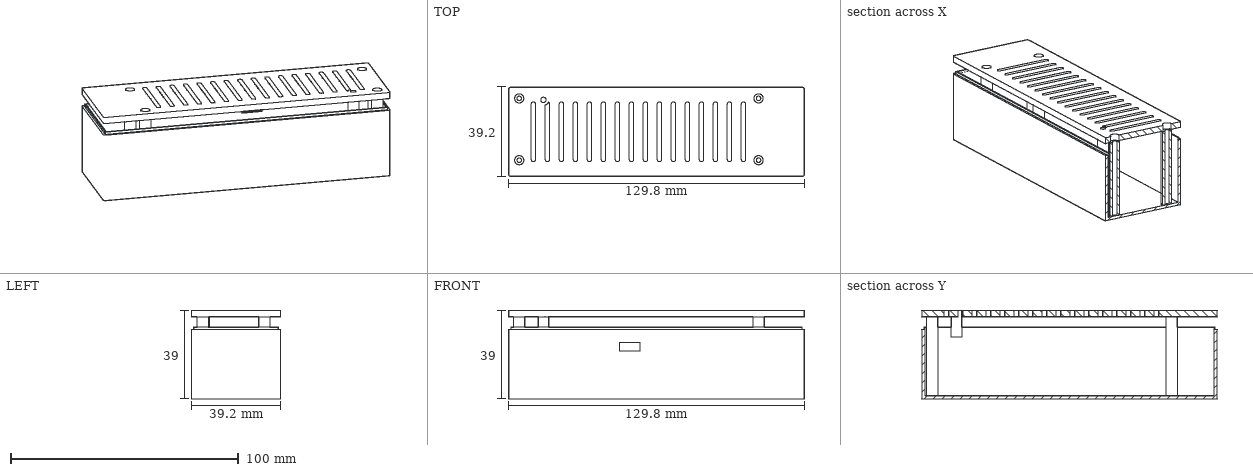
import cadquery as cq

LENGTH = 129.8
WIDTH = 39.2
HEIGHT = 39.0
CORNER_RADIUS = 1.0

BOX_HEIGHT = 30.6
WALL = 1.5
FLOOR = 1.5
LIP_STEP = CORNER_RADIUS
LIP_HEIGHT = 1.0

PORT_LENGTH = 9.0
PORT_HEIGHT = 3.8
PORT_X = -11.8
PORT_Z = 23.0

LID_THICKNESS = 2.9
LID_BOTTOM = HEIGHT - LID_THICKNESS

SLOT_COUNT = 16
SLOT_WIDTH = 2.0
SLOT_LENGTH = 26.2
FIRST_SLOT_X = -54.0
SLOT_ROW_LENGTH = 92.2
SLOT_PITCH = SLOT_ROW_LENGTH / (SLOT_COUNT - 1)

POST_DIAMETER = 5.0
POST_X = (-60.2, 44.8)
POST_Y = (-12.5, 14.7)
SCREW_DIAMETER = 2.0
SCREW_HEAD_DIAMETER = 4.0
SCREW_HEAD_DEPTH = LID_THICKNESS
POST_BOTTOM = FLOOR

TUBE_DIAMETER = 4.8
TUBE_BORE = 2.3
TUBE_X = -49.6
TUBE_Y = 14.0
TUBE_LENGTH = 11.7
TUBE_BOTTOM = HEIGHT - TUBE_LENGTH


def block(length, width, bottom, top):
    """Rectangular block centred on the Z axis, between two heights."""
    return (
        cq.Workplane("XY")
        .workplane(offset=bottom)
        .rect(length, width)
        .extrude(top - bottom)
    )


def cylinders(points, diameter, bottom, top):
    """Upright cylinders at the given XY points, between two heights."""
    return (
        cq.Workplane("XY")
        .workplane(offset=bottom)
        .pushPoints(points)
        .circle(diameter / 2)
        .extrude(top - bottom)
    )


def make_box():
    """Open box with a raised inner lip and a port in its front wall."""
    shell = block(LENGTH, WIDTH, 0, BOX_HEIGHT).edges("|Z").fillet(CORNER_RADIUS)
    lip_top = BOX_HEIGHT + LIP_HEIGHT
    lip = block(LENGTH - 2 * LIP_STEP, WIDTH - 2 * LIP_STEP, BOX_HEIGHT, lip_top)
    cavity = block(LENGTH - 2 * WALL, WIDTH - 2 * WALL, FLOOR, lip_top)
    front_wall_y = -(WIDTH - WALL) / 2
    port = cq.Workplane("XY").box(PORT_LENGTH, 2 * WALL, PORT_HEIGHT)
    port = port.translate((PORT_X, front_wall_y, PORT_Z))
    return shell.union(lip).cut(cavity).cut(port)


def vent_slots():
    """Row of round-ended slots that pass through the lid."""
    centres = [(FIRST_SLOT_X + i * SLOT_PITCH, 0) for i in range(SLOT_COUNT)]
    return (
        cq.Workplane("XY")
        .workplane(offset=LID_BOTTOM)
        .pushPoints(centres)
        .slot2D(SLOT_LENGTH, SLOT_WIDTH, 90)
        .extrude(LID_THICKNESS)
    )


def make_lid():
    """Slotted lid with four counterbored screw posts and a light tube."""
    lid = block(LENGTH, WIDTH, LID_BOTTOM, HEIGHT).edges("|Z").fillet(CORNER_RADIUS)
    lid = lid.cut(vent_slots())

    post_points = [(x, y) for x in POST_X for y in POST_Y]
    lid = lid.union(cylinders(post_points, POST_DIAMETER, POST_BOTTOM, LID_BOTTOM))
    lid = lid.cut(cylinders(post_points, SCREW_DIAMETER, POST_BOTTOM, HEIGHT))
    head_seat = HEIGHT - SCREW_HEAD_DEPTH
    lid = lid.cut(cylinders(post_points, SCREW_HEAD_DIAMETER, head_seat, HEIGHT))

    tube_point = [(TUBE_X, TUBE_Y)]
    bore = cylinders(tube_point, TUBE_BORE, TUBE_BOTTOM, HEIGHT)
    tube = cylinders(tube_point, TUBE_DIAMETER, TUBE_BOTTOM, HEIGHT).cut(bore)
    return lid.cut(bore).union(tube, clean=False)


box = make_box()
lid = make_lid()

result = cq.Compound.makeCompound([box.val(), lid.val()])